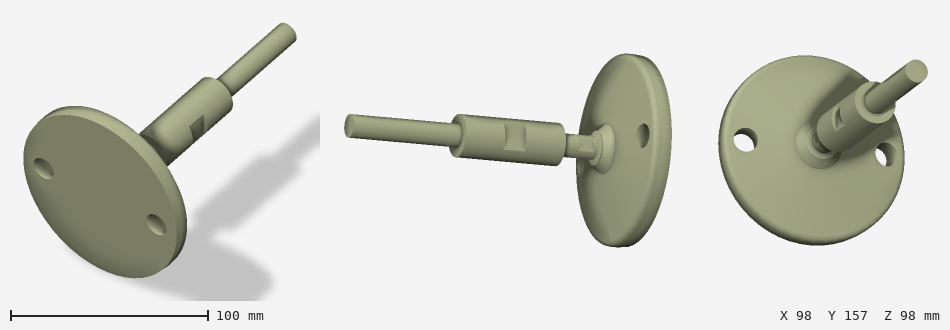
import cadquery as cq
import math


foot_radius = 49.0
foot_base_radius = 48.6
rim_taper_height = 4.0
rim_height = 9.6
rim_fillet = 2.7
hub_base_radius = 12.7
hub_base_height = 15.2
hub_bend_radius = 11.5
hub_bend_height = 16.4
neck_radius = 8.3
neck_height = 20.0
lip_radius = 8.8
lip_height = 20.8
flare_radius = 6.6
flare_height = 21.55
flare_middle_radius = 6.15
flare_middle_height = 21.8
hub_top_height = 22.2

anchor_hole_diameter = 12.5
anchor_hole_offset = 35.7
anchor_hole_tilt = 11.0

stud_diameter = 12.0
stud_top = 157.0
stud_across_flats = 10.0
stud_flats_start = 23.8
stud_flats_length = 8.0

sleeve_diameter = 22.0
sleeve_start = 41.7
sleeve_length = 55.3
sleeve_across_flats = 17.0
sleeve_flats_length = 12.0


def cylinder_along_y(diameter, start, length):
    """Cylinder on the Y axis, from Y = start to Y = start + length."""
    plane = cq.Workplane("XZ", origin=(0, start, 0))
    return plane.circle(diameter / 2).extrude(-length)


def cut_wrench_flats(body, diameter, across_flats, start, length):
    """Cut two flats that face -X and +X, across_flats apart."""
    depth = (diameter - across_flats) / 2
    for side in (-1, 1):
        center_x = side * (across_flats + depth) / 2
        flat = cq.Workplane("XY").box(depth, length, diameter)
        body = body.cut(flat.translate((center_x, start + length / 2, 0)))
    return body


def make_foot():
    outer_profile = [
        (0, 0),
        (foot_base_radius, 0),
        (foot_radius, rim_taper_height),
        (foot_radius, rim_height),
        (hub_base_radius, hub_base_height),
        (hub_bend_radius, hub_bend_height),
        (neck_radius, neck_height),
        (lip_radius, lip_height),
        (flare_radius, flare_height),
    ]
    profile = (
        cq.Workplane("XY")
        .polyline(outer_profile)
        .threePointArc(
            (flare_middle_radius, flare_middle_height),
            (stud_diameter / 2, hub_top_height),
        )
        .lineTo(0, hub_top_height)
        .close()
    )
    foot = profile.revolve(360, (0, 0, 0), (0, 1, 0))
    rim_corner = cq.selectors.BoxSelector(
        (-foot_radius, rim_height - rim_fillet / 2, -foot_radius),
        (foot_radius, rim_height + rim_fillet / 2, foot_radius),
    )
    foot = foot.edges("%CIRCLE").edges(rim_corner).fillet(rim_fillet)
    return cut_anchor_holes(foot)


def cut_anchor_holes(foot):
    tilt = math.radians(anchor_hole_tilt)
    for side in (-1, 1):
        direction = cq.Vector(side * math.sin(tilt), math.cos(tilt), 0)
        base_center = cq.Vector(side * anchor_hole_offset, 0, 0)
        hole = cq.Solid.makeCylinder(
            anchor_hole_diameter / 2,
            2 * hub_top_height,
            base_center - direction * hub_top_height,
            direction,
        )
        foot = foot.cut(cq.Workplane(hole))
    return foot


def make_stud():
    stud = cylinder_along_y(stud_diameter, hub_top_height, stud_top - hub_top_height)
    return cut_wrench_flats(
        stud, stud_diameter, stud_across_flats, stud_flats_start, stud_flats_length
    )


def make_sleeve():
    sleeve = cylinder_along_y(sleeve_diameter, sleeve_start, sleeve_length)
    sleeve = sleeve.cut(cylinder_along_y(stud_diameter, sleeve_start, sleeve_length))
    flats_start = sleeve_start + (sleeve_length - sleeve_flats_length) / 2
    return cut_wrench_flats(
        sleeve, sleeve_diameter, sleeve_across_flats, flats_start, sleeve_flats_length
    )


foot = make_foot()
stud = make_stud()
sleeve = make_sleeve()

result = cq.Compound.makeCompound([foot.val(), stud.val(), sleeve.val()])